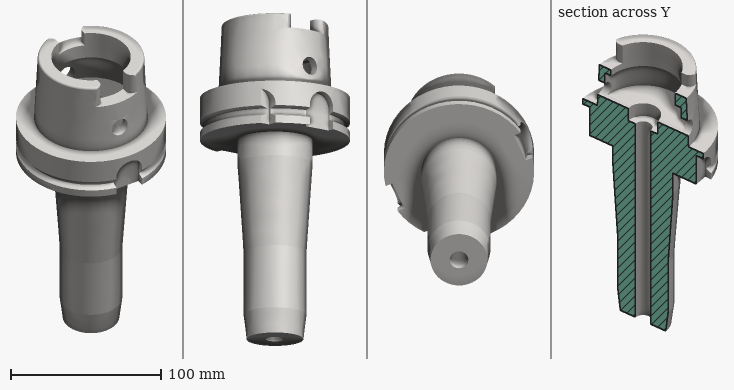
import cadquery as cq
import math

total_height = 215.0
flange_top = 165.0
flange_bottom = 136.0

taper_base_radius = 76.0 / 2
taper_ratio = 0.05
taper_top_radius = taper_base_radius - taper_ratio * (total_height - flange_top)
rim_fillet = 1.5
bore_radius = 26.5
bore_lip_depth = 20.2
chamber_radius = 31.4
chamber_depth = 40.5
counterbore_radius = 12.0
counterbore_depth = 10.8
coolant_hole_radius = 6.2

flange_radius = 100.0 / 2
groove_floor_radius = 46.2
groove_upper_edge = 148.1
groove_floor_top = 146.8
groove_floor_bottom = 143.2
groove_lower_edge = 141.3

shank_radius = 50.0 / 2
shank_taper_start = 120.0
body_radius = 42.0 / 2
body_top = 59.3
nose_start = 16.8
nose_radius = 19.0

slot_width = 20.0
slot_arch_radius = slot_width / 2
slot_arch_center = 150.0
flange_slot_floor = 44.0
notch_floor = 32.2
notch_wall = 31.4
key_corner_radius = 5.2
key_end_flat = 32.2
key_depth_left = 9.9
key_depth_right = 15.0
cross_hole_radius = 12.3 / 2
cross_hole_height = 180.2
clearance = 10.8


def make_body():
    """Solid of revolution: shank, grooved flange and clamping taper."""
    outline = [
        (0, 0),
        (nose_radius, 0),
        (body_radius, nose_start),
        (body_radius, body_top),
        (shank_radius, shank_taper_start),
        (shank_radius, flange_bottom),
        (flange_radius, flange_bottom),
        (flange_radius, groove_lower_edge),
        (groove_floor_radius, groove_floor_bottom),
        (groove_floor_radius, groove_floor_top),
        (flange_radius, groove_upper_edge),
        (flange_radius, flange_top),
        (taper_base_radius, flange_top),
        (taper_top_radius, total_height),
        (0, total_height),
    ]
    body = cq.Workplane("XZ").polyline(outline).close().revolve(360, (0, 0), (0, 1))
    return body.faces(">Z").edges().fillet(rim_fillet)


def make_bore():
    """Stepped bore with an undercut chamber behind its lip, open at both ends."""
    lip = total_height - bore_lip_depth
    chamber_floor = total_height - chamber_depth
    counterbore_floor = chamber_floor - counterbore_depth
    outline = [
        (0, 0),
        (coolant_hole_radius, 0),
        (coolant_hole_radius, counterbore_floor),
        (counterbore_radius, counterbore_floor),
        (counterbore_radius, chamber_floor),
        (chamber_radius, chamber_floor),
        (chamber_radius, lip),
        (bore_radius, lip),
        (bore_radius, total_height),
        (0, total_height),
    ]
    return cq.Workplane("XZ").polyline(outline).close().revolve(360, (0, 0), (0, 1))


def make_key_slot(depth):
    """Drive keyway in the rim on the +X side, flaring out through rounded corners."""
    half_width = slot_width / 2
    flare_half_width = half_width + key_corner_radius
    flare_start = key_end_flat - key_corner_radius
    outer = flange_radius
    diagonal = key_corner_radius * math.sqrt(0.5)
    arc_x = flare_start + diagonal
    arc_y = flare_half_width - diagonal
    return (
        cq.Workplane("XY", origin=(0, 0, total_height - depth))
        .moveTo(0, -half_width)
        .lineTo(flare_start, -half_width)
        .threePointArc((arc_x, -arc_y), (key_end_flat, -flare_half_width))
        .lineTo(key_end_flat, -outer)
        .lineTo(outer, -outer)
        .lineTo(outer, outer)
        .lineTo(key_end_flat, outer)
        .lineTo(key_end_flat, flare_half_width)
        .threePointArc((arc_x, arc_y), (flare_start, half_width))
        .lineTo(0, half_width)
        .close()
        .extrude(depth)
    )


def make_flange_slot(floor, center_y):
    """Round-topped slot cutter on the +X side, open through the flange bottom."""
    left = center_y - slot_arch_radius
    right = center_y + slot_arch_radius
    return (
        cq.Workplane("YZ", origin=(floor, 0, 0))
        .moveTo(left, flange_bottom)
        .lineTo(right, flange_bottom)
        .lineTo(right, slot_arch_center)
        .threePointArc((center_y, slot_arch_center + slot_arch_radius), (left, slot_arch_center))
        .close()
        .extrude(flange_radius + clearance - floor)
    )


def make_cross_hole():
    """Radial hole through both walls of the taper, along X."""
    half_length = taper_base_radius + clearance
    return (
        cq.Workplane("YZ", origin=(-half_length, 0, 0))
        .center(0, cross_hole_height)
        .circle(cross_hole_radius)
        .extrude(2 * half_length)
    )


def to_left(cutter):
    """Mirror a cutter from the +X side to the -X side."""
    return cutter.mirror("YZ")


flange_slot = make_flange_slot(flange_slot_floor, 0)
orientation_notch = make_flange_slot(notch_floor, notch_wall + slot_arch_radius)

cutters = [
    make_bore(),
    make_key_slot(key_depth_right),
    to_left(make_key_slot(key_depth_left)),
    flange_slot,
    to_left(flange_slot),
    to_left(orientation_notch),
    make_cross_hole(),
]

result = make_body()
for cutter in cutters:
    result = result.cut(cutter)